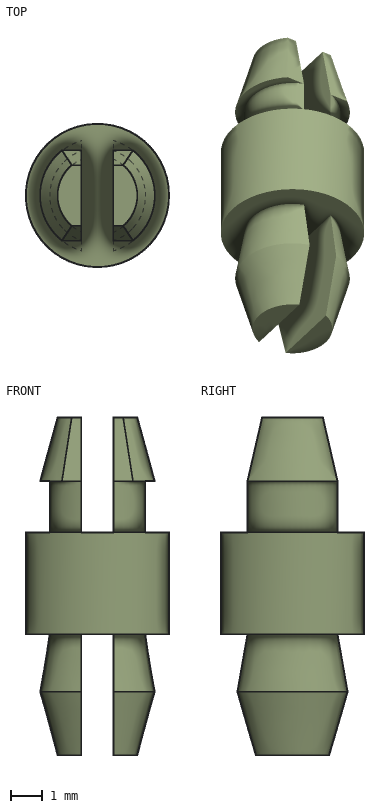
import cadquery as cq

collar_diameter = 4.5
collar_height = 3.2

stem_diameter = 3.0
barb_diameter = 3.6
tip_diameter = 2.5
barb_height = 2.0
slot_width = 1.0

upper_stem_height = 1.6
lower_flare_height = 1.8

stem_radius = stem_diameter / 2
flat_base_half_width = (stem_radius**2 - (slot_width / 2) ** 2) ** 0.5
flat_tip_half_width = 0.955

upper_barb_base = collar_height + upper_stem_height
upper_tip = upper_barb_base + barb_height
lower_barb_level = -lower_flare_height
lower_tip = lower_barb_level - barb_height


def cylinder(diameter, bottom, height):
    """Upright cylinder on the Z axis."""
    return cq.Workplane("XY").workplane(offset=bottom).circle(diameter / 2).extrude(height)


def cone(bottom_diameter, top_diameter, bottom, height):
    """Upright truncated cone on the Z axis."""
    profile = [
        (0, bottom),
        (bottom_diameter / 2, bottom),
        (top_diameter / 2, bottom + height),
        (0, bottom + height),
    ]
    return cq.Workplane("XZ").polyline(profile).close().revolve(360, (0, 0, 0), (0, 1, 0))


def slot(bottom, top):
    """Slot along Y that splits a peg into two prongs."""
    return (
        cq.Workplane("XY")
        .workplane(offset=bottom)
        .rect(slot_width, collar_diameter)
        .extrude(top - bottom)
    )


def upper_peg():
    """Straight stem with a barb that is narrowed by two sloping flats."""
    stem = cylinder(stem_diameter, collar_height, upper_stem_height)
    barb = cone(barb_diameter, tip_diameter, upper_barb_base, barb_height)
    wedge_profile = [
        (-flat_base_half_width, upper_barb_base),
        (flat_base_half_width, upper_barb_base),
        (flat_tip_half_width, upper_tip),
        (-flat_tip_half_width, upper_tip),
    ]
    wedge = cq.Workplane("YZ").polyline(wedge_profile).close().extrude(barb_diameter / 2, both=True)
    return stem.union(barb.intersect(wedge)).cut(slot(collar_height, upper_tip))


def lower_peg():
    """Stem that flares out to the barb, then tapers to the tip."""
    flare = cone(barb_diameter, stem_diameter, lower_barb_level, lower_flare_height)
    barb = cone(tip_diameter, barb_diameter, lower_tip, barb_height)
    return flare.union(barb).cut(slot(lower_tip, 0))


collar = cylinder(collar_diameter, 0, collar_height)
result = collar.union(upper_peg()).union(lower_peg())